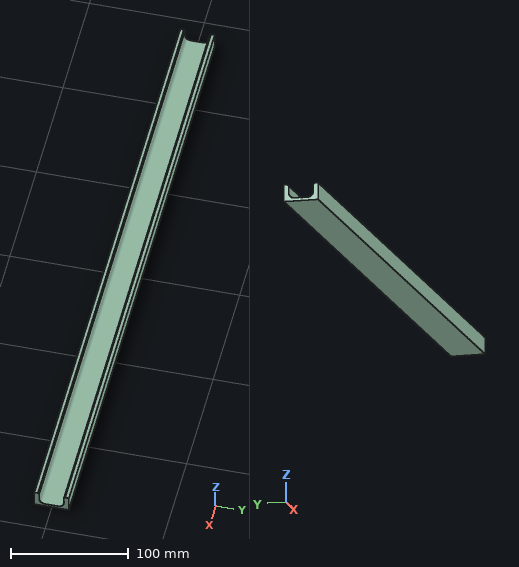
import cadquery as cq

length = 550.0
width = 30.0
height = 15.0

wall = 4.5
floor = 3.0
root_radius = 5.0
lip_chamfer = 1.0

inner_half_width = width / 2 - wall


def trough_profile():
    """Open trough section in the YZ plane, rounded at the floor and bevelled at the mouth."""
    mouth_half_width = inner_half_width + lip_chamfer
    floor_half_width = inner_half_width - root_radius
    return (
        cq.Workplane("YZ")
        .moveTo(-mouth_half_width, height)
        .lineTo(-inner_half_width, height - lip_chamfer)
        .lineTo(-inner_half_width, floor + root_radius)
        .radiusArc((-floor_half_width, floor), -root_radius)
        .lineTo(floor_half_width, floor)
        .radiusArc((inner_half_width, floor + root_radius), -root_radius)
        .lineTo(inner_half_width, height - lip_chamfer)
        .lineTo(mouth_half_width, height)
        .close()
    )


bar = cq.Workplane("XY").box(length, width, height, centered=(False, True, False))
trough = trough_profile().extrude(length)

result = bar.cut(trough)